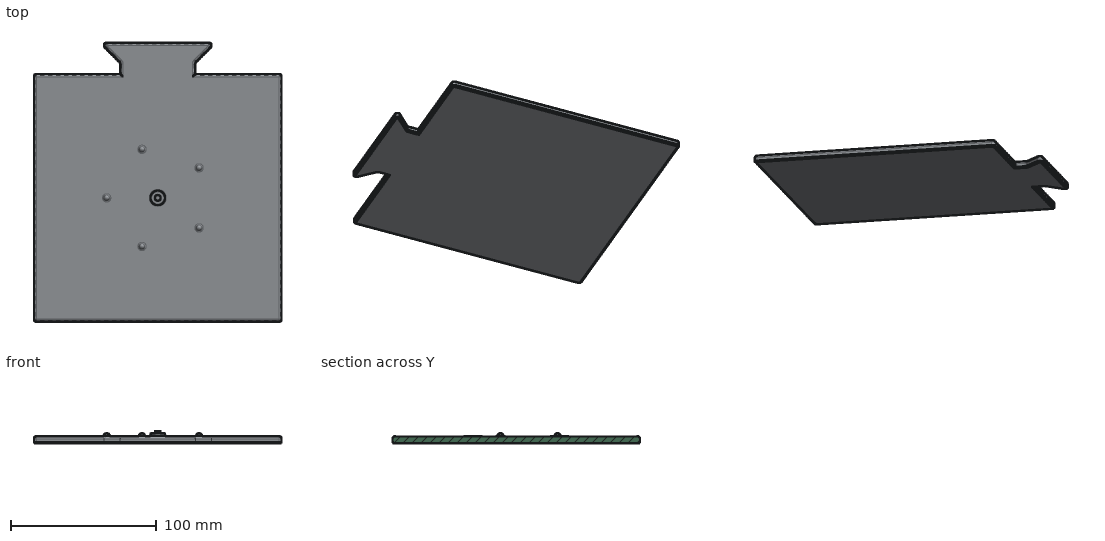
import cadquery as cq
import math

plate_side = 170.0
plate_thickness = 5.0
corner_radius = 2.0
top_rim_radius = 2.0
bottom_chamfer = 1.0

tongue_length = 21.5
tongue_neck_width = 51.5
tongue_end_width = 79.5
tongue_flank_angle = 45.0
tongue_neck_radius = 2.0

stud_count = 5
stud_circle_radius = 35.0
stud_diameter = 4.0
stud_foot_radius = 1.0

boss_diameter = 10.0
boss_height = 2.0
boss_rim_radius = 0.75
boss_foot_radius = 0.75
pin_diameter = 4.0
pin_height = 3.5
pin_rim_radius = 0.5
pin_foot_radius = 0.5

root_z = plate_thickness / 2


def make_plate():
    """Square plate and dovetail tongue in one piece, with rounded corners, a rounded
    top rim and a chamfered bottom rim.
    """
    half_side = plate_side / 2
    half_neck = tongue_neck_width / 2
    half_end = tongue_end_width / 2
    end_y = half_side + tongue_length
    neck_y = end_y - (half_end - half_neck) / math.tan(math.radians(tongue_flank_angle))

    right_side = [
        (half_side, -half_side),
        (half_side, half_side),
        (half_neck, half_side),
        (half_neck, neck_y),
        (half_end, end_y),
    ]
    left_side = [(-x, y) for x, y in reversed(right_side)]
    plate = cq.Workplane("XY").polyline(right_side + left_side).close().extrude(plate_thickness)

    plate = plate.edges("|Z").edges("<X or >X or >Y").fillet(corner_radius)
    for side in (-1, 1):
        neck_point = (side * half_neck, neck_y, plate_thickness / 2)
        neck_edge = plate.edges("|Z").edges(cq.selectors.NearestToPointSelector(neck_point))
        plate = neck_edge.fillet(tongue_neck_radius)
    plate = plate.faces(">Z").edges().fillet(top_rim_radius)
    return plate.faces("<Z").edges().chamfer(bottom_chamfer)


def point_on_circle(centre, radius, degrees):
    """Point at an angle on a circle in the (radius, height) profile plane."""
    angle = math.radians(degrees)
    return (centre[0] + radius * math.cos(angle), centre[1] + radius * math.sin(angle))


def make_stud():
    """Hemispherical dome on the Z axis, blended into the plate by its foot fillet."""
    dome_radius = stud_diameter / 2
    dome_centre = (0, plate_thickness)
    blend_distance = dome_radius + stud_foot_radius
    blend_angle = math.degrees(math.asin(stud_foot_radius / blend_distance))
    foot_centre = point_on_circle(dome_centre, blend_distance, blend_angle)

    apex = (0, plate_thickness + dome_radius)
    dome_middle = point_on_circle(dome_centre, dome_radius, (90 + blend_angle) / 2)
    dome_end = point_on_circle(dome_centre, dome_radius, blend_angle)
    foot_middle = point_on_circle(foot_centre, stud_foot_radius, (180 + blend_angle + 270) / 2)
    foot_end = (foot_centre[0], plate_thickness)
    return (
        cq.Workplane("XZ")
        .moveTo(0, root_z)
        .lineTo(*apex)
        .threePointArc(dome_middle, dome_end)
        .threePointArc(foot_middle, foot_end)
        .lineTo(foot_end[0], root_z)
        .close()
        .revolve(360, (0, 0), (0, 1))
    )


def make_post(diameter, base_z, top_z, rim_radius, foot_radius):
    """Round post on the Z axis with a rounded rim and a flared foot at its base."""
    radius = diameter / 2
    foot_outer = radius + foot_radius
    foot_middle = point_on_circle((foot_outer, base_z + foot_radius), foot_radius, 225)
    rim_middle = point_on_circle((radius - rim_radius, top_z - rim_radius), rim_radius, 45)
    profile = (
        cq.Workplane("XZ")
        .moveTo(0, root_z)
        .lineTo(foot_outer, root_z)
        .lineTo(foot_outer, base_z)
        .threePointArc(foot_middle, (radius, base_z + foot_radius))
    )
    if top_z - rim_radius > base_z + foot_radius:
        profile = profile.lineTo(radius, top_z - rim_radius)
    return (
        profile.threePointArc(rim_middle, (radius - rim_radius, top_z))
        .lineTo(0, top_z)
        .close()
        .revolve(360, (0, 0), (0, 1))
    )


boss_top = plate_thickness + boss_height
pin_top = plate_thickness + pin_height
boss = make_post(boss_diameter, plate_thickness, boss_top, boss_rim_radius, boss_foot_radius)
pin = make_post(pin_diameter, boss_top, pin_top, pin_rim_radius, pin_foot_radius)
result = make_plate().union(boss).union(pin)

first_stud = make_stud().translate((-stud_circle_radius, 0, 0))
for index in range(stud_count):
    stud = first_stud.rotate((0, 0, 0), (0, 0, 1), index * 360 / stud_count)
    result = result.union(stud)